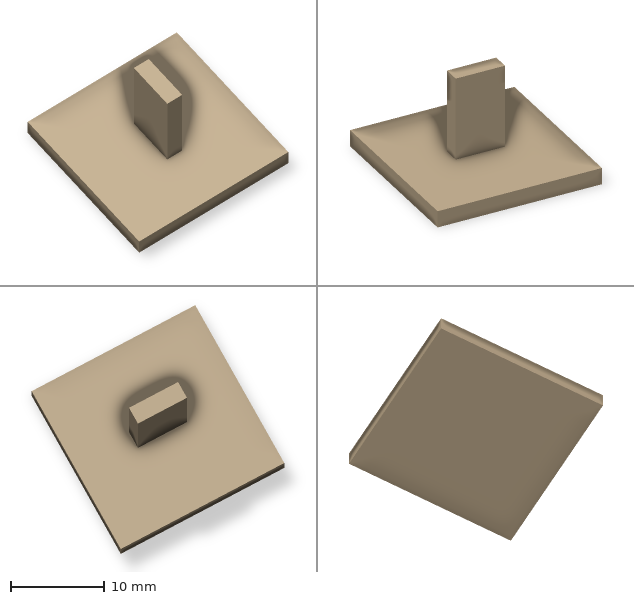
import cadquery as cq

plate_side = 20.0
plate_thickness = 2.0
tab_width = 6.0
tab_thickness = 2.0
tab_height = 10.0


def make_plate():
    """Square base plate, centred in X and Y, resting on Z = 0."""
    return cq.Workplane("XY").rect(plate_side, plate_side).extrude(plate_thickness)


def make_tab():
    """Upright rectangular tab, centred on the top face of the plate."""
    plate_top = cq.Workplane("XY").workplane(offset=plate_thickness)
    return plate_top.rect(tab_width, tab_thickness).extrude(tab_height)


result = make_plate().union(make_tab())